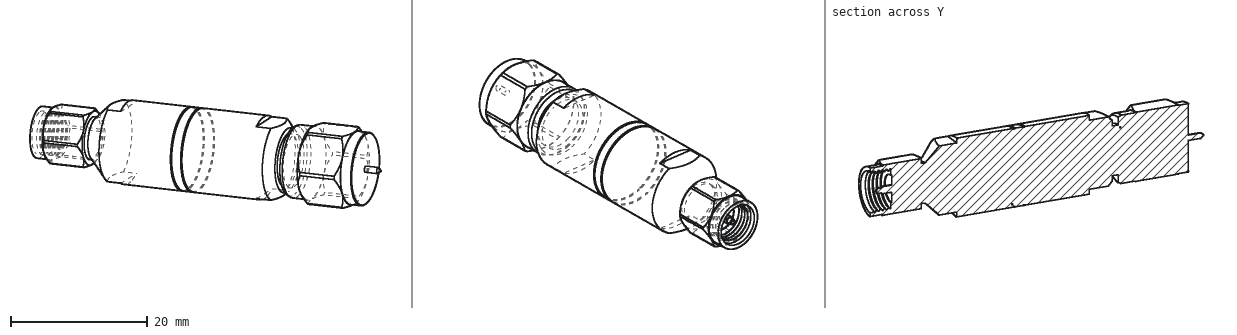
import cadquery as cq
import math

TOTAL_LENGTH = 54.3

SMALL_COLLAR_END = 2.0
SMALL_COLLAR_RADIUS = 3.85
SMALL_HEX_END = 8.35
SMALL_HEX_ACROSS_FLATS = 8.0
SMALL_HEX_CORNER_RADIUS = 4.5

SOCKET_RADIUS = 3.2
THREAD_START = 0.75
THREAD_PITCH = 0.65
THREAD_DEPTH = 0.355
THREAD_CREST = 0.05
THREAD_COUNT = 4
SOCKET_DEPTH = THREAD_START + THREAD_COUNT * THREAD_PITCH
INSULATOR_RADIUS = 2.15
INSULATOR_RECESS = 0.1
SOCKET_PIN_START = 1.1
SOCKET_PIN_RADIUS = 0.6
SOCKET_PIN_TIP_RADIUS = 0.45
SOCKET_PIN_TIP_CHAMFER = 0.15
SOCKET_PIN_TIP_LENGTH = 0.8

BARREL_RADIUS = 6.25
BARREL_START = 8.95
BARREL_END = 39.4
FRONT_NECK_RADIUS = 3.2
REAR_CHAMFER = 1.4
REAR_NECK_RADIUS = 3.95
FLAT_HEIGHT = 5.5
FRONT_FLAT_END = 14.05
REAR_FLAT_START = 35.7
GROOVE_POSITIONS = (23.45, 25.1)
GROOVE_WIDTH = 0.15
GROOVE_DEPTH = 0.1

LARGE_NUT_START = 40.35
LARGE_COLLAR_RADIUS = 5.45
LARGE_COLLAR_CHAMFER_LENGTH = 0.5
LARGE_COLLAR_CHAMFER_DEPTH = 0.25
LARGE_HEX_START = 43.2
LARGE_HEX_END = 50.1
LARGE_HEX_ACROSS_FLATS = 10.95
LARGE_HEX_CORNER_RADIUS = 6.2
LARGE_NUT_END = 51.85
LARGE_NUT_EDGE_CHAMFER = 0.1

PIN_RADIUS = 0.46
PIN_TIP_LENGTH = 0.5
PIN_TIP_RADIUS = 0.05


def turned(profile):
    """Revolve (x, radius) points, closed along the axis, about the X axis."""
    outline = [(profile[0][0], 0), *profile, (profile[-1][0], 0)]
    return cq.Workplane("XY").polyline(outline).close().revolve(360, (0, 0, 0), (1, 0, 0))


def cylinder(start, end, radius):
    return turned([(start, radius), (end, radius)])


def hex_nut(start, end, across_flats, corner_radius):
    """Hexagon with flats facing +Z and -Z, rounded corners and 45 degree chamfered ends."""
    across_corners = across_flats / math.cos(math.pi / 6)
    prism = (
        cq.Workplane("YZ", origin=(start, 0, 0))
        .polygon(6, across_corners)
        .extrude(end - start)
    )
    end_radius = across_flats / 2
    chamfer = corner_radius - end_radius
    envelope = turned([
        (start, end_radius),
        (start + chamfer, corner_radius),
        (end - chamfer, corner_radius),
        (end, end_radius),
    ])
    return prism.intersect(envelope)


def barrel():
    cone_length = BARREL_RADIUS - FRONT_NECK_RADIUS
    body = turned([
        (BARREL_START, FRONT_NECK_RADIUS),
        (BARREL_START + cone_length, BARREL_RADIUS),
        (BARREL_END - REAR_CHAMFER, BARREL_RADIUS),
        (BARREL_END, BARREL_RADIUS - REAR_CHAMFER),
    ])
    for position in GROOVE_POSITIONS:
        groove_start = position - GROOVE_WIDTH / 2
        groove_end = position + GROOVE_WIDTH / 2
        ring = cylinder(groove_start, groove_end, BARREL_RADIUS + GROOVE_DEPTH).cut(
            cylinder(groove_start, groove_end, BARREL_RADIUS - GROOVE_DEPTH)
        )
        body = body.cut(ring)
    for start, end in ((BARREL_START, FRONT_FLAT_END), (REAR_FLAT_START, BARREL_END)):
        for side in (1, -1):
            block = cq.Workplane("XY").box(
                end - start, 2 * BARREL_RADIUS, BARREL_RADIUS, centered=(False, True, True)
            )
            block_middle = side * (FLAT_HEIGHT + BARREL_RADIUS / 2)
            body = body.cut(block.translate((start, 0, block_middle)))
    return body


def socket():
    """Bore of the small nut, with ring-shaped thread ridges and a recessed insulator."""
    crest_radius = SOCKET_RADIUS - THREAD_DEPTH
    flank = (THREAD_PITCH - THREAD_CREST) / 2
    profile = [(0, SOCKET_RADIUS)]
    for ridge in range(THREAD_COUNT):
        root = THREAD_START + ridge * THREAD_PITCH
        profile += [
            (root, SOCKET_RADIUS),
            (root + flank, crest_radius),
            (root + flank + THREAD_CREST, crest_radius),
        ]
    profile.append((SOCKET_DEPTH, SOCKET_RADIUS))
    recess = cylinder(0, SOCKET_DEPTH + INSULATOR_RECESS, INSULATOR_RADIUS)
    return turned(profile).union(recess)


def socket_pin():
    """Stepped pin with a chamfered tip, joined to the solid back of the nut."""
    tip_end = SOCKET_PIN_START + SOCKET_PIN_TIP_LENGTH
    return turned([
        (SOCKET_PIN_START, SOCKET_PIN_TIP_RADIUS - SOCKET_PIN_TIP_CHAMFER),
        (SOCKET_PIN_START + SOCKET_PIN_TIP_CHAMFER, SOCKET_PIN_TIP_RADIUS),
        (tip_end, SOCKET_PIN_TIP_RADIUS),
        (tip_end, SOCKET_PIN_RADIUS),
        (SMALL_HEX_END, SOCKET_PIN_RADIUS),
    ])


def small_nut():
    collar = cylinder(0, SMALL_COLLAR_END, SMALL_COLLAR_RADIUS)
    hexagon = hex_nut(
        SMALL_COLLAR_END, SMALL_HEX_END, SMALL_HEX_ACROSS_FLATS, SMALL_HEX_CORNER_RADIUS
    )
    return collar.union(hexagon).cut(socket()).union(socket_pin())


def large_nut():
    collar = turned([
        (LARGE_NUT_START, LARGE_COLLAR_RADIUS - LARGE_COLLAR_CHAMFER_DEPTH),
        (LARGE_NUT_START + LARGE_COLLAR_CHAMFER_LENGTH, LARGE_COLLAR_RADIUS),
        (LARGE_NUT_END - LARGE_NUT_EDGE_CHAMFER, LARGE_COLLAR_RADIUS),
        (LARGE_NUT_END, LARGE_COLLAR_RADIUS - LARGE_NUT_EDGE_CHAMFER),
    ])
    hexagon = hex_nut(
        LARGE_HEX_START, LARGE_HEX_END, LARGE_HEX_ACROSS_FLATS, LARGE_HEX_CORNER_RADIUS
    )
    return collar.union(hexagon)


def contact_pin():
    return turned([
        (LARGE_NUT_END, PIN_RADIUS),
        (TOTAL_LENGTH - PIN_TIP_LENGTH, PIN_RADIUS),
        (TOTAL_LENGTH, PIN_TIP_RADIUS),
    ])


front_neck = cylinder(SMALL_HEX_END, BARREL_START, FRONT_NECK_RADIUS)
rear_neck = cylinder(BARREL_END, LARGE_NUT_START, REAR_NECK_RADIUS)

result = (
    barrel()
    .union(front_neck)
    .union(small_nut())
    .union(rear_neck)
    .union(large_nut())
    .union(contact_pin())
)